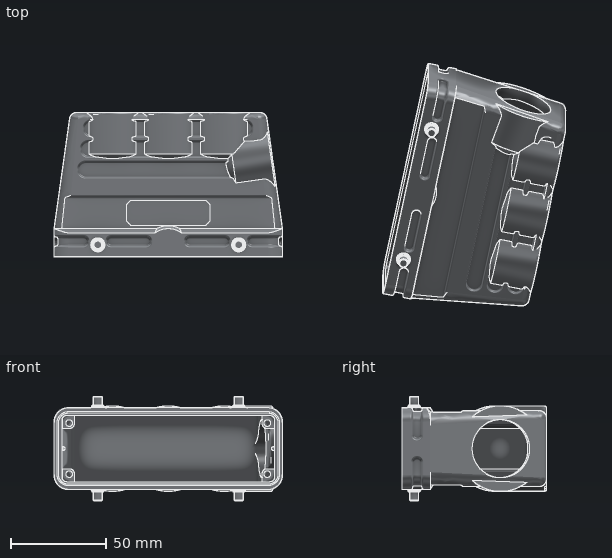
import cadquery as cq
import math

depth = 76.0
width = 120.01
body_height = 40.0

band_height = 43.0
band_length = 15.0
band_radius = 7.6
band_slope_length = 2.3
band_end_height = band_height - 2 * band_slope_length
band_end_radius = 5.3

body_mouth_radius = 7.5
body_back_width = 102.8
body_back_radius = 4.5
body_back_fillet = 4.0
label_recess_floor_end = 30.6
label_recess_end = 32.5
label_recess_depth = 0.85
badge_width = 44.0
badge_length = 13.1
badge_centre_y = 23.2
badge_corner = 2.3
badge_depth = 0.2

hump_radius = 22.5
hump_pitch = 29.3
hump_start = 54.1
hump_nose = 4.5
hump_back_round = 1.2
hump_clip_width = 90.0

port_diameter = 30.5
port_wall_y = 52.0
port_boss_length = 20.9
port_pad_radius = 27.0
port_pad_y = 65.0
port_pad_x = 47.2
port_pad_round = 1.1
port_boss_inset = 0.8

body_groove = (4.9, 3.35, 1.25)
body_groove_first_y = 45.75
body_groove_pitch = 10.8
body_groove_ends = (48.1, 46.6, 45.1)
band_groove = (3.45, 1.45, 2.0)
groove_clearance = 1.0
band_groove_y = 8.1
band_groove_inner_end = 8.0
band_groove_outer_end = 33.2
corner_groove_top_end = 40.9
corner_groove_side_end = 3.9

bump_centre_y = 2.9
bump_top_radius = 12.0
bump_bottom_radius = 13.5
bump_half_width = 10.0
bump_front_y = 10.0

pin_diameter = 4.8
pin_x = 37.0
pin_y = 6.4
pin_tip_z = 27.5
pin_chamfer = 0.4
pin_root_depth = 1.0
pin_collar_diameter = 6.5
pin_collar_top_z = 22.8
pin_collar_flare = 0.45

mouth_wall = 1.5
mouth_wall_z = 2.1
mouth_chamfer = 0.75
mouth_chamfer_length = 1.0
mouth_depth = 3.4
cavity_height = 34.8
cavity_mouth_width = 111.8
cavity_back_width = 101.6
cavity_end_y = 65.9
cavity_corner_radius = 2.6
cavity_floor_fillet = 1.8

post_front_y = 8.5
post_inner_x = 49.3
post_inner_z = 10.6
post_round = 2.5
screw_hole_diameter = 3.5
screw_hole_x = 52.0
screw_hole_z = 13.4
screw_hole_depth = 12.0
guide_diameter = 2.0
guide_x = 55.2
guide_front_y = 10.5

band_top = band_height / 2
body_top = body_height / 2
recess_top = body_top - label_recess_depth
body_length = depth - band_length
side_angle = math.degrees(math.atan((width - body_back_width) / 2 / body_length))
port_wall_x = width / 2 - (port_wall_y - band_length) * math.tan(math.radians(side_angle))


def plane_at(y):
    """Workplane parallel to XZ at the given y, its normal pointing into the hood."""
    return cq.Workplane(cq.Plane((0, y, 0), xDir=(-1, 0, 0), normal=(0, 1, 0)))


def rounded(across, high, radius):
    return cq.Sketch().rect(across, high).vertices().fillet(radius)


def block(x0, x1, y0, y1, z0, z1):
    return cq.Workplane("XY").box(x1 - x0, y1 - y0, z1 - z0, centered=False).translate((x0, y0, z0))


def frustum(y, length, start, end):
    """Prism between two rounded rectangles given as (width, height, radius)."""
    far = rounded(*end).moved(cq.Location(cq.Vector(0, 0, length)))
    return plane_at(y).placeSketch(rounded(*start), far).loft()


def both_faces(shape):
    return shape.union(shape.mirror("XY"))


def both_sides(shape):
    return shape.union(shape.mirror("YZ"))


def port_plane():
    """Workplane on the sloping right wall, its normal along the port axis pointing outwards."""
    angle = math.radians(side_angle)
    normal = (math.cos(angle), math.sin(angle), 0)
    return cq.Workplane(cq.Plane((port_wall_x, port_wall_y, 0), xDir=(0, 0, 1), normal=normal))


def s_curve_points(rim, floor, deep):
    """Points on two equal tangent arcs leading from the rim down to the floor."""
    run = rim - floor
    radius = (run ** 2 + deep ** 2) / (4 * deep)
    half_turn = math.asin(min(1.0, run / (2 * radius))) / 2
    across = radius * math.sin(half_turn)
    down = radius * (1 - math.cos(half_turn))
    upper = (rim - across, -down)
    middle = ((rim + floor) / 2, -deep / 2)
    lower = (floor + across, down - deep)
    return upper, middle, lower


def groove_section(workplane, groove, half=False):
    """Groove profile: across the groove in local x, out of the surface in local y."""
    rim, floor, deep = groove
    upper, middle, lower = s_curve_points(*groove)
    outline = workplane.moveTo(0, groove_clearance).lineTo(rim, groove_clearance).lineTo(rim, 0)
    outline = outline.threePointArc(upper, middle).threePointArc(lower, (floor, -deep))
    if half:
        return outline.lineTo(0, -deep).close()
    outline = outline.lineTo(-floor, -deep)
    outline = outline.threePointArc((-lower[0], lower[1]), (-middle[0], middle[1]))
    outline = outline.threePointArc((-upper[0], upper[1]), (-rim, 0))
    return outline.lineTo(-rim, groove_clearance).close()


def groove_cutter(x0, x1, groove, round_end=True):
    """Straight groove along X, sunk from z = 0, from tip x0 (round) to tip or open end x1."""
    rim = groove[0]
    start = x0 + rim
    end = x1 - rim if round_end else x1
    section_plane = cq.Workplane(cq.Plane((start, 0, 0), xDir=(0, 1, 0), normal=(1, 0, 0)))
    cutter = groove_section(section_plane, groove).extrude(end - start)
    tip = groove_section(cq.Workplane("XZ"), groove, half=True).revolve(360, (0, 0, 0), (0, 1, 0))
    cutter = cutter.union(tip.translate((start, 0, 0)))
    if round_end:
        cutter = cutter.union(tip.translate((end, 0, 0)))
    return cutter


def corner_groove_cutter():
    """Groove around one band corner: a run on the wide face, a quarter turn and a run on the side."""
    side = width / 2
    centre_x = side - band_radius
    centre_z = band_top - band_radius
    on_face = groove_cutter(corner_groove_top_end, centre_x, band_groove, round_end=False)
    on_face = on_face.translate((0, band_groove_y, band_top))
    on_side = groove_cutter(corner_groove_side_end, centre_z, band_groove, round_end=False)
    on_side = on_side.mirror("YZ").rotate((0, 0, 0), (0, 1, 0), 90)
    on_side = on_side.translate((side, band_groove_y, 0))
    section_plane = cq.Workplane(
        cq.Plane((centre_x, band_groove_y, band_top), xDir=(0, 1, 0), normal=(1, 0, 0))
    )
    turn = groove_section(section_plane, band_groove)
    turn = turn.revolve(90, (0, -band_radius, 0), (1, -band_radius, 0))
    return on_face.union(turn).union(on_side)


def make_band():
    """Rounded band whose rear end slopes at 45 degrees towards the body, least at the short sides."""
    grown = 2 * band_slope_length
    slope_start = (width + grown, band_end_height + grown, band_end_radius + band_slope_length)
    slope_end = (width, band_end_height, band_end_radius)
    straight_length = band_length - band_slope_length
    outline = rounded(width, band_height, band_radius)
    straight = plane_at(0).placeSketch(outline).extrude(straight_length)
    rear = plane_at(straight_length).placeSketch(outline).extrude(band_slope_length)
    rear = rear.intersect(frustum(straight_length, band_slope_length, slope_start, slope_end))
    return straight.union(rear)


def make_body():
    mouth_section = (width, body_height, body_mouth_radius)
    back_section = (body_back_width, body_height, body_back_radius)
    straight = plane_at(0).placeSketch(rounded(*mouth_section)).extrude(band_length)
    taper = frustum(band_length, body_length, mouth_section, back_section)
    taper = taper.faces(">Y").edges().fillet(body_back_fillet)
    body = straight.union(taper)
    for index, end in enumerate(body_groove_ends):
        y = body_groove_first_y + index * body_groove_pitch
        cutter = groove_cutter(-end, end, body_groove).translate((0, y, body_top))
        body = body.cut(both_faces(cutter))
    return body.cut(both_faces(label_recess_cutter()))


def label_recess_cutter():
    """Lowers the wide face between the band and the grooves, with a curved end."""
    steps = s_curve_points(label_recess_end, label_recess_floor_end, label_recess_depth)
    upper, middle, lower = [(y, body_top + z) for y, z in steps]
    top = body_top + label_recess_depth
    section_plane = cq.Workplane(cq.Plane((-width / 2, 0, 0), xDir=(0, 1, 0), normal=(1, 0, 0)))
    outline = section_plane.moveTo(0, top).lineTo(0, recess_top).lineTo(label_recess_floor_end, recess_top)
    outline = outline.threePointArc(lower, middle).threePointArc(upper, (label_recess_end, body_top))
    return outline.lineTo(label_recess_end, top).close().extrude(width)


def make_humps():
    hump = plane_at(hump_start).circle(hump_radius).extrude(depth - hump_start)
    hump = hump.faces(">Y").edges().fillet(hump_back_round)
    nose = plane_at(hump_start).circle(hump_radius)
    nose = nose.workplane(offset=-hump_nose).circle(hump_radius - hump_nose).loft()
    hump = hump.union(nose)
    humps = hump
    for x in (-hump_pitch, hump_pitch):
        humps = humps.union(hump.translate((x, 0, 0)))
    half = hump_clip_width / 2
    return humps.intersect(block(-half, half, 0, depth, -hump_radius, hump_radius))


def make_port_boss():
    boss = port_plane().workplane(offset=-port_boss_inset).circle(hump_radius)
    boss = boss.extrude(port_boss_inset - port_boss_length)
    nose = port_plane().workplane(offset=-port_boss_length).circle(hump_radius)
    nose = nose.workplane(offset=-hump_nose).circle(hump_radius - hump_nose).loft()
    return boss.union(nose)


def make_bump():
    cone = cq.Workplane("XY").workplane(offset=recess_top).circle(bump_bottom_radius)
    cone = cone.workplane(offset=band_top - recess_top).circle(bump_top_radius).loft()
    cone = cone.translate((0, bump_centre_y, 0))
    end_y = bump_centre_y + bump_bottom_radius
    return cone.intersect(
        block(-bump_half_width, bump_half_width, bump_front_y, end_y, recess_top, band_top)
    )


def make_pin():
    root_z = band_top - pin_root_depth
    pin = cq.Workplane("XY").workplane(offset=root_z).circle(pin_diameter / 2)
    pin = pin.extrude(pin_tip_z - root_z).faces(">Z").edges().chamfer(pin_chamfer)
    collar = cq.Workplane("XY").workplane(offset=root_z).circle(pin_collar_diameter / 2)
    collar = collar.extrude(pin_collar_top_z - root_z).faces(">Z").edges().chamfer(pin_collar_flare)
    flare = cq.Workplane("XY").workplane(offset=band_top)
    flare = flare.circle(pin_collar_diameter / 2 + pin_collar_flare)
    flare = flare.workplane(offset=pin_collar_flare).circle(pin_collar_diameter / 2).loft()
    return pin.union(collar).union(flare).translate((pin_x, pin_y, 0))


def make_badge_cutter():
    """Shallow label panel on the upper face."""
    badge = cq.Workplane("XY").workplane(offset=recess_top - badge_depth)
    badge = badge.center(0, badge_centre_y).rect(badge_width, badge_length)
    return badge.extrude(badge_depth).edges("|Z").chamfer(badge_corner)


def band_groove_cutters():
    straight = groove_cutter(band_groove_inner_end, band_groove_outer_end, band_groove)
    straight = straight.translate((0, band_groove_y, band_top))
    return both_sides(both_faces(straight.union(corner_groove_cutter())))


def make_cavity():
    """Tapered on the left; on the right the port pad forms the sloping wall."""
    front_half = cavity_mouth_width / 2
    back_half = cavity_back_width / 2
    outline = [
        (-front_half, mouth_depth),
        (front_half, mouth_depth),
        (front_half, cavity_end_y),
        (-back_half, cavity_end_y),
    ]
    half_height = cavity_height / 2
    cavity = cq.Workplane("XY").workplane(offset=-half_height).polyline(outline).close()
    cavity = cavity.extrude(cavity_height).cut(make_port_pad())
    cavity = cavity.faces(">Y").edges("|Z").fillet(cavity_floor_fillet)
    envelope = rounded(cavity_mouth_width, cavity_height, cavity_corner_radius)
    cavity = cavity.intersect(plane_at(0).placeSketch(envelope).extrude(depth))
    return cavity.cut(make_posts()).cut(make_guides())


def make_port_pad():
    """Round thickening of the wall around the port, flat across the port axis."""
    angle = math.radians(side_angle)
    across_x = (port_wall_x - port_pad_x) * math.cos(angle)
    across_y = (port_pad_y - port_wall_y) * math.sin(angle)
    thickness = across_x - across_y
    pad = port_plane().circle(port_pad_radius).extrude(thickness, both=True)
    return pad.faces("<X").edges().fillet(port_pad_round)


def make_posts():
    half_width = cavity_mouth_width / 2
    half_height = cavity_height / 2
    post = block(post_inner_x, half_width, post_front_y, cavity_end_y, post_inner_z, half_height)
    post = post.edges("|Y and <X and <Z").fillet(post_round)
    hole = plane_at(post_front_y).center(-screw_hole_x, screw_hole_z)
    hole = hole.circle(screw_hole_diameter / 2).extrude(screw_hole_depth)
    return both_sides(both_faces(post.cut(hole)))


def make_guides():
    guide = plane_at(guide_front_y).center(-guide_x, 0).circle(guide_diameter / 2)
    return both_sides(guide.extrude(cavity_end_y - guide_front_y))


def make_mouth():
    """Shallow seat at the mouth, larger than the cavity, with a chamfered entry."""
    entry_width = width - 2 * mouth_wall
    entry_height = band_height - 2 * mouth_wall_z
    entry_radius = band_radius - mouth_wall
    entry = (entry_width, entry_height, entry_radius)
    shrink = 2 * mouth_chamfer
    seat = (entry_width - shrink, entry_height - shrink, entry_radius - mouth_chamfer)
    straight = plane_at(0).placeSketch(rounded(*seat)).extrude(mouth_depth)
    return straight.union(frustum(0, mouth_chamfer_length, entry, seat))


def make_port_bore():
    return port_plane().circle(port_diameter / 2).extrude(-port_boss_length, both=True)


result = make_body().union(make_band()).union(both_faces(make_bump()))
result = result.union(make_humps()).union(make_port_boss())
result = result.cut(band_groove_cutters())
result = result.union(both_sides(both_faces(make_pin())))
result = result.cut(make_badge_cutter())
result = result.cut(make_cavity()).cut(make_mouth()).cut(make_port_bore())